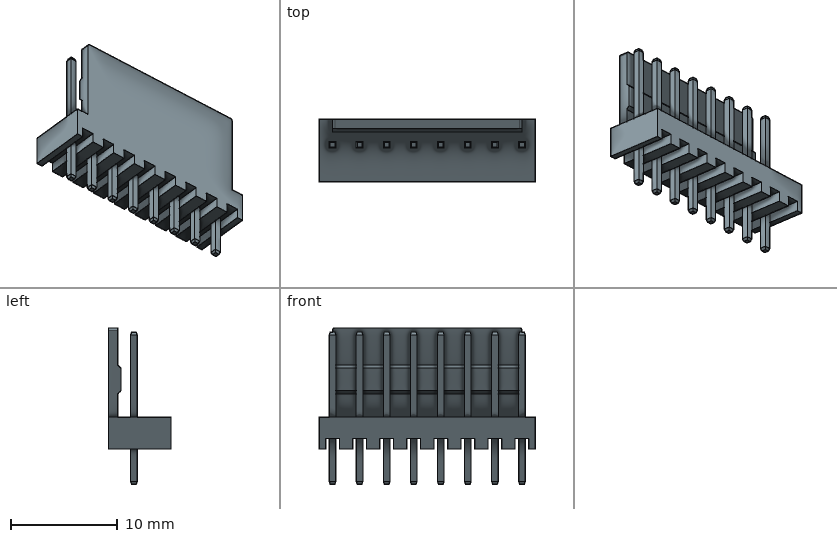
import cadquery as cq

pin_count = 8
pitch = 2.54
pin_width = 0.64
pin_top = 11.0
pin_bottom = -3.3
tip_height = 0.28
tip_inset = 0.1

base_length = pin_count * pitch
base_depth = 5.9
base_height = 3.0
back_y = 2.4
slot_width = pitch / 2
slot_height = 1.0

wall_length = (pin_count - 1) * pitch
wall_thickness = 0.9
wall_top = 11.4
wall_corner = 0.25

ridge_bottom = 5.2
ridge_top = 7.9
ridge_depth = 0.3

pin_positions = [(i - (pin_count - 1) / 2) * pitch for i in range(pin_count)]


def make_base():
    base = cq.Workplane("XY").box(base_length, base_depth, base_height, centered=(True, False, False))
    base = base.translate((0, back_y - base_depth, 0))
    for x in pin_positions:
        slot = cq.Workplane("XY").box(slot_width, base_depth, slot_height, centered=(True, False, False))
        base = base.cut(slot.translate((x, back_y - base_depth, 0)))
    return base


def make_wall():
    """Extrude the ridged wall section along X, then ease its two top corners."""
    face_y = back_y - wall_thickness
    ridge_y = face_y - ridge_depth
    section = [
        (back_y, base_height),
        (back_y, wall_top),
        (face_y, wall_top),
        (face_y, ridge_top),
        (ridge_y, ridge_top - ridge_depth),
        (ridge_y, ridge_bottom + ridge_depth),
        (face_y, ridge_bottom),
        (face_y, base_height),
    ]
    wall = cq.Workplane("YZ").polyline(section).close().extrude(wall_length / 2, both=True)
    top_corners = wall.faces(">Z").edges("|Y")
    return top_corners.fillet(wall_corner)


def make_tip(x, z, direction):
    """Tapered square pin end; direction is +1 upward or -1 downward from height z."""
    tip_width = pin_width - 2 * tip_inset
    base_section = cq.Workplane("XY", origin=(x, 0, z)).rect(pin_width, pin_width)
    return base_section.workplane(offset=direction * tip_height).rect(tip_width, tip_width).loft()


def make_pin(x):
    shank_bottom = pin_bottom + tip_height
    shank_top = pin_top - tip_height
    shank = cq.Workplane("XY", origin=(x, 0, shank_bottom)).rect(pin_width, pin_width)
    shank = shank.extrude(shank_top - shank_bottom)
    return shank.union(make_tip(x, shank_top, 1)).union(make_tip(x, shank_bottom, -1))


result = make_base().union(make_wall())
for pin_x in pin_positions:
    result = result.union(make_pin(pin_x))